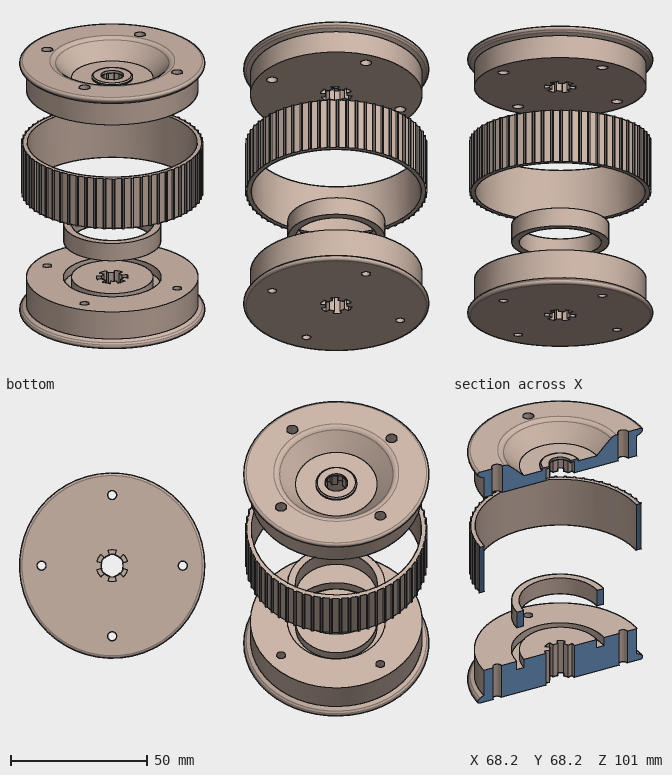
import cadquery as cq
import math

total_height = 101.0
rim_diameter = 68.2

rim_round_radius = 0.96
undercut_angle = 45
shoulder_top = 2.3
flange_height = 3.1
barrel_diameter = 63.2
lower_barrel_height = 10.9
upper_barrel_height = 8.6
lower_height = flange_height + lower_barrel_height
upper_height = flange_height + upper_barrel_height

screw_count = 4
screw_circle_radius = 26.0
upper_screw_diameter = 4.0
lower_screw_diameter = 3.2

spline_slots = 6
spline_minor_radius = 3.9
spline_major_radius = 5.9
spline_slot_angle = 30
first_slot_angle = 30

dish_depth = 6.8
dish_floor_diameter = 30.0
dish_mouth_diameter = 43.4
dish_lip_radius = 3.0
collar_diameter = 15.0
collar_height = 1.0
collar_chamfer = 0.5
collar_bore_diameter = 8.3
collar_bore_depth = 1.0

seat_diameter = 36.0
seat_boss_diameter = 30.0
seat_depth = 3.5
ring_outer_diameter = 35.8
ring_inner_diameter = 30.2
ring_height = 7.0
ring_bottom = 28.5

band_outer_diameter = 66.8
band_inner_diameter = 62.5
band_height = 20.0
band_bottom = 48.2
tooth_count = 60
tooth_base_width = 1.1
tooth_tip_width = 0.6
tooth_height = 0.5
tooth_embed = 0.3


def cylinder(diameter, bottom, height):
    return cq.Workplane("XY").workplane(offset=bottom).circle(diameter / 2).extrude(height)


def flanged_hub(barrel_height):
    """Solid of revolution: rounded rim at Z = 0, two tapers above it, then the barrel."""
    rim_radius = rim_diameter / 2
    barrel_radius = barrel_diameter / 2
    top = flange_height + barrel_height
    round_center_radius = rim_radius - rim_round_radius
    undercut = math.radians(undercut_angle)
    round_end_radius = round_center_radius + rim_round_radius * math.cos(undercut)
    round_end_z = rim_round_radius * (1 + math.sin(undercut))
    shoulder_radius = round_end_radius - (shoulder_top - round_end_z) * math.tan(undercut)
    return (
        cq.Workplane("XZ")
        .moveTo(0, 0)
        .lineTo(round_center_radius, 0)
        .threePointArc((rim_radius, rim_round_radius), (round_end_radius, round_end_z))
        .lineTo(shoulder_radius, shoulder_top)
        .lineTo(barrel_radius, flange_height)
        .lineTo(barrel_radius, top)
        .lineTo(0, top)
        .close()
        .revolve(360, (0, 0, 0), (0, 1, 0))
    )


def screw_holes(diameter, height):
    return (
        cq.Workplane("XY")
        .polarArray(screw_circle_radius, 0, 360, screw_count)
        .circle(diameter / 2)
        .extrude(height)
    )


def polar_point(radius, degrees):
    angle = math.radians(degrees)
    return (radius * math.cos(angle), radius * math.sin(angle))


def spline_bore(bottom, height):
    """Round bore with slots that have radial sides and end on the major diameter."""
    bore = cylinder(2 * spline_minor_radius, bottom, height)
    half_angle = spline_slot_angle / 2
    for index in range(spline_slots):
        middle = first_slot_angle + index * 360 / spline_slots
        slot = (
            cq.Workplane("XY")
            .workplane(offset=bottom)
            .moveTo(0, 0)
            .lineTo(*polar_point(spline_major_radius, middle - half_angle))
            .threePointArc(
                polar_point(spline_major_radius, middle),
                polar_point(spline_major_radius, middle + half_angle),
            )
            .close()
            .extrude(height)
        )
        bore = bore.union(slot)
    return bore


def dish_cutter():
    """Conical dish, its lip rounded tangentially into the flat top face."""
    floor_radius = dish_floor_diameter / 2
    mouth_radius = dish_mouth_diameter / 2
    wall_angle = math.atan2(dish_depth, mouth_radius - floor_radius)
    floor_z = total_height - dish_depth
    lip_radius = mouth_radius + dish_lip_radius * math.tan(wall_angle / 2)
    lip_center_z = total_height - dish_lip_radius

    def lip_point(angle):
        return (
            lip_radius - dish_lip_radius * math.sin(angle),
            lip_center_z + dish_lip_radius * math.cos(angle),
        )

    return (
        cq.Workplane("XZ")
        .moveTo(0, floor_z)
        .lineTo(floor_radius, floor_z)
        .lineTo(*lip_point(wall_angle))
        .threePointArc(lip_point(wall_angle / 2), lip_point(0))
        .lineTo(0, total_height)
        .close()
        .revolve(360, (0, 0, 0), (0, 1, 0))
    )


def make_lower_hub():
    seat_bottom = lower_height - seat_depth
    seat = cylinder(seat_diameter, seat_bottom, seat_depth).cut(
        cylinder(seat_boss_diameter, seat_bottom, seat_depth)
    )
    return (
        flanged_hub(lower_barrel_height)
        .cut(seat)
        .cut(spline_bore(0, lower_height))
        .cut(screw_holes(lower_screw_diameter, lower_height))
    )


def make_upper_hub():
    """Flange upward; the spline stops below the smaller round bore of the collar."""
    bottom = total_height - upper_height
    dish_floor_z = total_height - dish_depth
    collar_top = dish_floor_z + collar_height
    spline_top = collar_top - collar_bore_depth
    collar = cylinder(collar_diameter, dish_floor_z, collar_height).faces(">Z").chamfer(collar_chamfer)
    return (
        flanged_hub(upper_barrel_height)
        .cut(screw_holes(upper_screw_diameter, upper_height))
        .rotate((0, 0, 0), (1, 0, 0), 180)
        .translate((0, 0, total_height))
        .cut(dish_cutter())
        .union(collar)
        .cut(spline_bore(bottom, spline_top - bottom))
        .cut(cylinder(collar_bore_diameter, spline_top, collar_bore_depth))
    )


def make_ring():
    return cylinder(ring_outer_diameter, ring_bottom, ring_height).cut(
        cylinder(ring_inner_diameter, ring_bottom, ring_height)
    )


def make_band():
    """Thin band with evenly spaced trapezoidal teeth along its full height."""
    root_radius = band_outer_diameter / 2 - tooth_height
    tip_radius = band_outer_diameter / 2
    tooth_foot = root_radius - tooth_embed
    teeth = (
        cq.Workplane("XY")
        .workplane(offset=band_bottom)
        .polarArray(0, 0, 360, tooth_count)
        .eachpoint(
            lambda place: cq.Workplane("XY")
            .polyline(
                [
                    (tooth_foot, -tooth_base_width / 2),
                    (root_radius, -tooth_base_width / 2),
                    (tip_radius, -tooth_tip_width / 2),
                    (tip_radius, tooth_tip_width / 2),
                    (root_radius, tooth_base_width / 2),
                    (tooth_foot, tooth_base_width / 2),
                ]
            )
            .close()
            .extrude(band_height)
            .val()
            .moved(place)
        )
    )
    return (
        cylinder(2 * root_radius, band_bottom, band_height)
        .union(teeth)
        .cut(cylinder(band_inner_diameter, band_bottom, band_height))
    )


lower_hub = make_lower_hub()
ring = make_ring()
band = make_band()
upper_hub = make_upper_hub()

result = cq.Compound.makeCompound([lower_hub.val(), ring.val(), band.val(), upper_hub.val()])